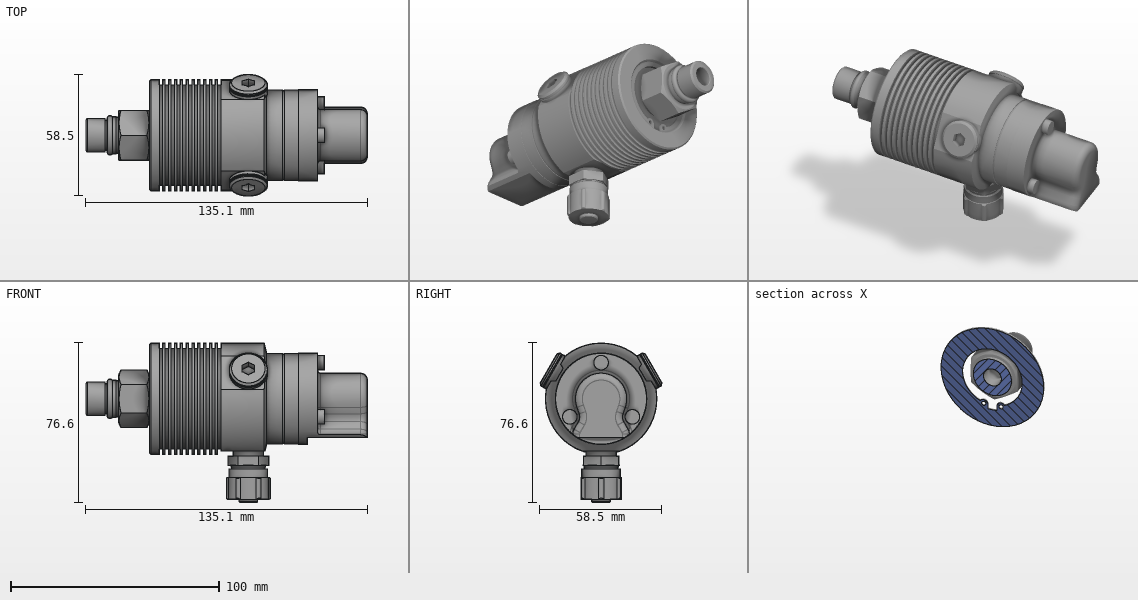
import cadquery as cq
import math


OVERALL_LENGTH = 135.13
OVERALL_HEIGHT = 76.55

NOSE_LENGTH = 30.5
NOSE_DIAMETER = 16.3
NOSE_CHAMFER = 0.8
THREAD_LENGTH = 9.3
UNDERCUT_LENGTH = 0.9
UNDERCUT_DIAMETER = 14.5
SEAL_DIAMETER = 19.0
SEAL_WIDTH = 2.8
COLLAR_DIAMETER = 18.0
RELIEF_WIDTH = 1.2
RELIEF_DIAMETER = 17.4
HEX_FLATS = 24.0
HEX_LENGTH = 14.8
HEX_CHAMFER_DIAMETER = 23.0
HEX_CHAMFER_LENGTH = 1.2
SHAFT_DIAMETER = 20.0
SHAFT_END = 12.0
BORE_DIAMETER = 9.0
BORE_CHAMFER = 0.35

HOUSING_DIAMETER = 53.5
FRONT_CHAMFER = 0.7
FRONT_RIM_LENGTH = 4.8
FIN_COUNT = 10
FIN_WIDTH = 1.2
GROOVE_WIDTH = 1.6
GROOVE_DIAMETER = 48.3
SHOULDER_START = 55.1
SHOULDER_END = 56.3
REAR_DIAMETER = 43.6
JOINT_GROOVE_START = 63.9
JOINT_GROOVE_WIDTH = 0.9
JOINT_GROOVE_DEPTH = 0.4
FLANGE_START = 71.6
FLANGE_DIAMETER = 43.9
REAR_FACE = 80.8
FLAT_DISTANCE = 25.1
PORT_X = 47.5
PORT_ANGLES = (30.0, 150.0)
FITTING_ANGLE = 270.0

RECESS_DIAMETER = 35.5
RECESS_MOUTH_DIAMETER = 37.2
RING_FRONT = 0.9
RECESS_DEPTH = 2.4
RING_INNER_DIAMETER = 30.7
RING_GAP = 4.4
EAR_RADIUS = 2.25
EAR_HOLE_DIAMETER = 1.98
EAR_Y = 4.5
EAR_Z = -15.3

PLUG_TOP = 29.1
PLUG_DIAMETER = 18.3
PLUG_FACE_DIAMETER = 16.1
PLUG_CONE_HEIGHT = 1.0
PLUG_HEAD_BOTTOM = 27.2
WASHER_TOP = 26.6
PLUG_NECK_DIAMETER = 17.4
SOCKET_FLATS = 6.0
SOCKET_DEPTH = 4.0

FITTING_END = OVERALL_HEIGHT - HOUSING_DIAMETER / 2
FITTING_NECK_DIAMETER = 14.6
NUT_FLATS = 17.0
NUT_TOP = 27.5
NUT_BOTTOM = 32.1
NUT_LIP_HEIGHT = 0.4
NUT_LIP_DIAMETER = 17.6
SPACER_BOTTOM = 32.7
SPACER_DIAMETER = 16.5
SPACER_NECK_DIAMETER = 16.2
SLEEVE_TOP = 33.6
SLEEVE_DIAMETER = 18.6
KNOB_TOP = 37.7
KNOB_BOTTOM = 48.3
KNOB_DIAMETER = 19.4
KNOB_CHAMFER = 0.6
KNOB_RIB_COUNT = 6
KNOB_RIB_REACH = 10.6
KNOB_RIB_WIDTH = 2.8
TIP_DIAMETER = 9.0
TIP_CHAMFER = 0.4

CAP_RADIUS = 12.3
CAP_END_FILLET = 3.3
CAP_BASE_FILLET = 1.4
CAP_TANGENT_ANGLE = 19.5
WAIST_TOP_Z = -7.2
WAIST_RADIUS = 4.5
FOOT_LEAN_ANGLE = 30.0
FOOT_ROUND_Z = -14.6
FOOT_ROUND_RADIUS = 4.5
FOOT_Z = -18.7
FOOT_START = 75.9

SCREW_DIAMETER = 7.0
SCREW_HEIGHT = 3.25
SCREW_CIRCLE_RADIUS = 17.35
SCREW_ANGLES = (90.0, 210.0, 330.0)

EDGE_MARGIN = 0.5
EMBED = 2.0


def cylinder(start, end, diameter):
    """Cylinder on the X axis."""
    return cq.Workplane("YZ", origin=(start, 0, 0)).circle(diameter / 2).extrude(end - start)


def cone(start, end, start_diameter, end_diameter):
    """Cone frustum on the X axis."""
    outline = [(start, 0), (start, start_diameter / 2), (end, end_diameter / 2), (end, 0)]
    return cq.Workplane("XY").polyline(outline).close().revolve(360, (0, 0, 0), (1, 0, 0))


def radial_plane(angle, distance):
    """Plane square to a port axis; its local X is the housing X and its normal points outward."""
    across = math.cos(math.radians(angle))
    up = math.sin(math.radians(angle))
    return cq.Plane(
        origin=(PORT_X, distance * across, distance * up), xDir=(1, 0, 0), normal=(0, across, up)
    )


def radial_disc(angle, start, end, diameter):
    """Cylinder on a port axis between two distances from the housing axis."""
    return cq.Workplane(radial_plane(angle, start)).circle(diameter / 2).extrude(end - start)


def hexagon_corner_diameter(flats):
    return flats / math.cos(math.pi / 6)


def make_rotor():
    nose_start = -NOSE_LENGTH
    thread_end = nose_start + THREAD_LENGTH
    seal_start = thread_end + UNDERCUT_LENGTH
    hex_start = -HEX_LENGTH
    seal_radius = SEAL_WIDTH / 2

    body = cylinder(nose_start, thread_end, NOSE_DIAMETER).faces("<X").chamfer(NOSE_CHAMFER)
    body = body.union(cylinder(thread_end, seal_start + seal_radius, UNDERCUT_DIAMETER))
    seal_center = (seal_start + seal_radius, SEAL_DIAMETER / 2 - seal_radius)
    seal = (
        cq.Workplane("XY").center(*seal_center).circle(seal_radius)
        .revolve(360, (0, -seal_center[1], 0), (1, -seal_center[1], 0))
    )
    body = body.union(seal)
    body = body.union(cylinder(seal_start + seal_radius, hex_start - RELIEF_WIDTH, COLLAR_DIAMETER))
    body = body.union(cylinder(hex_start - RELIEF_WIDTH, hex_start, RELIEF_DIAMETER))

    corners = hexagon_corner_diameter(HEX_FLATS)
    nut = (
        cq.Workplane("YZ", origin=(hex_start, 0, 0))
        .transformed(rotate=(0, 0, 90)).polygon(6, corners).extrude(HEX_LENGTH)
    )
    nut_outline = [
        (hex_start, 0),
        (hex_start, HEX_CHAMFER_DIAMETER / 2),
        (hex_start + HEX_CHAMFER_LENGTH, corners / 2),
        (-HEX_CHAMFER_LENGTH, corners / 2),
        (0, HEX_CHAMFER_DIAMETER / 2),
        (0, 0),
    ]
    nut_limit = cq.Workplane("XY").polyline(nut_outline).close().revolve(360, (0, 0, 0), (1, 0, 0))
    body = body.union(nut.intersect(nut_limit)).union(cylinder(0, SHAFT_END, SHAFT_DIAMETER))

    body = body.cut(cylinder(nose_start, SHAFT_END, BORE_DIAMETER))
    mouth = BORE_DIAMETER + 2 * BORE_CHAMFER
    return body.cut(cone(nose_start, nose_start + BORE_CHAMFER, mouth, BORE_DIAMETER))


def make_shell():
    """Turned body of the housing with cooling fins and the flats for the ports."""
    radius = HOUSING_DIAMETER / 2
    outline = [
        (0, 0),
        (0, radius - FRONT_CHAMFER),
        (FRONT_CHAMFER, radius),
        (SHOULDER_START, radius),
        (SHOULDER_END, REAR_DIAMETER / 2),
        (FLANGE_START, REAR_DIAMETER / 2),
        (FLANGE_START, 0),
    ]
    shell = cq.Workplane("XY").polyline(outline).close().revolve(360, (0, 0, 0), (1, 0, 0))

    pitch = FIN_WIDTH + GROOVE_WIDTH
    for index in range(FIN_COUNT + 1):
        start = FRONT_RIM_LENGTH + index * pitch
        groove = cylinder(start, start + GROOVE_WIDTH, HOUSING_DIAMETER + EMBED)
        shell = shell.cut(groove.cut(cylinder(start, start + GROOVE_WIDTH, GROOVE_DIAMETER)))

    joint_end = JOINT_GROOVE_START + JOINT_GROOVE_WIDTH
    joint_floor = REAR_DIAMETER - 2 * JOINT_GROOVE_DEPTH
    joint = cylinder(JOINT_GROOVE_START, joint_end, REAR_DIAMETER + EMBED)
    shell = shell.cut(joint.cut(cylinder(JOINT_GROOVE_START, joint_end, joint_floor)))

    fins_end = FRONT_RIM_LENGTH + FIN_COUNT * pitch + GROOVE_WIDTH
    flat_length = SHOULDER_END - fins_end
    for angle in (*PORT_ANGLES, FITTING_ANGLE):
        flat = (
            cq.Workplane(radial_plane(angle, FLAT_DISTANCE))
            .center(fins_end + flat_length / 2 - PORT_X, 0)
            .rect(flat_length, HOUSING_DIAMETER).extrude(HOUSING_DIAMETER)
        )
        shell = shell.cut(flat)
    return shell


def make_snap_ring():
    thickness = RECESS_DEPTH - RING_FRONT
    plane = cq.Workplane("YZ", origin=(RING_FRONT, 0, 0))
    ears = plane.pushPoints([(-EAR_Y, EAR_Z), (EAR_Y, EAR_Z)])
    limit = cylinder(RING_FRONT, RECESS_DEPTH, RECESS_DIAMETER)
    ring = limit.cut(cylinder(RING_FRONT, RECESS_DEPTH, RING_INNER_DIAMETER))
    ring = ring.union(ears.circle(EAR_RADIUS).extrude(thickness).intersect(limit))
    gap = plane.center(0, -RECESS_DIAMETER / 2).rect(RING_GAP, RECESS_DIAMETER / 2).extrude(thickness)
    ring = ring.cut(gap)
    return ring.cut(ears.circle(EAR_HOLE_DIAMETER / 2).extrude(thickness))


def make_plug(angle):
    cone_base = PLUG_TOP - PLUG_CONE_HEIGHT
    plug = radial_disc(angle, FLAT_DISTANCE - EMBED, WASHER_TOP, PLUG_DIAMETER)
    plug = plug.union(radial_disc(angle, WASHER_TOP, PLUG_HEAD_BOTTOM, PLUG_NECK_DIAMETER))
    plug = plug.union(radial_disc(angle, PLUG_HEAD_BOTTOM, cone_base, PLUG_DIAMETER))
    top = (
        cq.Workplane(radial_plane(angle, cone_base)).circle(PLUG_DIAMETER / 2)
        .workplane(offset=PLUG_CONE_HEIGHT).circle(PLUG_FACE_DIAMETER / 2).loft()
    )
    return plug.union(top)


def make_socket(angle):
    return (
        cq.Workplane(radial_plane(angle, PLUG_TOP - SOCKET_DEPTH)).transformed(rotate=(0, 0, 90))
        .polygon(6, hexagon_corner_diameter(SOCKET_FLATS)).extrude(SOCKET_DEPTH)
    )


def make_fitting():
    """Hose fitting that hangs from the bottom flat."""
    angle = FITTING_ANGLE
    fitting = radial_disc(angle, FLAT_DISTANCE - EMBED, NUT_TOP, FITTING_NECK_DIAMETER)
    nut = (
        cq.Workplane(radial_plane(angle, NUT_TOP))
        .polygon(6, hexagon_corner_diameter(NUT_FLATS)).extrude(NUT_BOTTOM - NUT_TOP)
    )
    fitting = fitting.union(nut)
    fitting = fitting.union(radial_disc(angle, NUT_BOTTOM, SPACER_BOTTOM, SPACER_DIAMETER))
    fitting = fitting.union(radial_disc(angle, NUT_BOTTOM - NUT_LIP_HEIGHT, NUT_BOTTOM, NUT_LIP_DIAMETER))
    fitting = fitting.union(radial_disc(angle, SPACER_BOTTOM, SLEEVE_TOP, SPACER_NECK_DIAMETER))
    fitting = fitting.union(radial_disc(angle, SLEEVE_TOP, KNOB_TOP, SLEEVE_DIAMETER))
    knob_height = KNOB_BOTTOM - KNOB_TOP
    knob = radial_disc(angle, KNOB_TOP, KNOB_BOTTOM, KNOB_DIAMETER)
    for index in range(KNOB_RIB_COUNT):
        rib = (
            cq.Workplane(radial_plane(angle, KNOB_TOP))
            .transformed(rotate=(0, 0, index * 360 / KNOB_RIB_COUNT))
            .center(KNOB_RIB_REACH - KNOB_RIB_WIDTH / 2, 0).circle(KNOB_RIB_WIDTH / 2).extrude(knob_height)
        )
        knob = knob.union(rib)
    knob_limit = radial_disc(angle, KNOB_TOP, KNOB_BOTTOM, 2 * KNOB_RIB_REACH)
    knob_limit = knob_limit.faces("<Z or >Z").chamfer(KNOB_CHAMFER)
    fitting = fitting.union(knob.intersect(knob_limit))
    tip = radial_disc(angle, KNOB_BOTTOM, FITTING_END, TIP_DIAMETER).faces("<Z").chamfer(TIP_CHAMFER)
    return fitting.union(tip)


def waist_points(side):
    """Points of the cap outline on one side (+1 or -1), from the round cap down to the foot."""
    tilt = math.radians(CAP_TANGENT_ANGLE)
    lean = math.radians(FOOT_LEAN_ANGLE)
    cap_y = CAP_RADIUS * math.cos(tilt)
    cap_z = -CAP_RADIUS * math.sin(tilt)

    waist_center_z = WAIST_TOP_Z - WAIST_RADIUS * math.sin(tilt)
    waist_top_y = cap_y - (cap_z - WAIST_TOP_Z) * math.tan(tilt)
    waist_center_y = waist_top_y + WAIST_RADIUS * math.cos(tilt)
    waist_bottom_y = waist_center_y - WAIST_RADIUS * math.cos(lean)
    waist_bottom_z = waist_center_z - WAIST_RADIUS * math.sin(lean)

    round_top_y = waist_bottom_y + (waist_bottom_z - FOOT_ROUND_Z) * math.tan(lean)
    round_center_y = round_top_y - FOOT_ROUND_RADIUS * math.cos(lean)
    round_center_z = FOOT_ROUND_Z - FOOT_ROUND_RADIUS * math.sin(lean)
    round_middle_y = round_center_y + FOOT_ROUND_RADIUS * math.cos(lean / 2)
    round_middle_z = round_center_z + FOOT_ROUND_RADIUS * math.sin(lean / 2)

    points = [
        (cap_y, cap_z),
        (waist_top_y, WAIST_TOP_Z),
        (waist_center_y - WAIST_RADIUS, waist_center_z),
        (waist_bottom_y, waist_bottom_z),
        (round_top_y, FOOT_ROUND_Z),
        (round_middle_y, round_middle_z),
        (round_center_y + FOOT_ROUND_RADIUS, round_center_z),
    ]
    return [(side * y, z) for y, z in points]


def make_rear():
    """Rear flange with a round cap that widens into a flat foot, all within the flange diameter."""
    cap_end = OVERALL_LENGTH - NOSE_LENGTH
    left = waist_points(-1)
    right = waist_points(1)
    stock = 2 * FLANGE_DIAMETER
    cap = (
        cq.Workplane("YZ", origin=(REAR_FACE, 0, 0))
        .moveTo(*right[0])
        .threePointArc((0, CAP_RADIUS), left[0])
        .lineTo(*left[1])
        .threePointArc(left[2], left[3])
        .lineTo(*left[4])
        .threePointArc(left[5], left[6])
        .lineTo(left[6][0], -FLANGE_DIAMETER)
        .lineTo(right[6][0], -FLANGE_DIAMETER)
        .lineTo(*right[6])
        .threePointArc(right[5], right[4])
        .lineTo(*right[3])
        .threePointArc(right[2], right[1])
        .close()
        .extrude(cap_end - REAR_FACE)
    )

    def outline_edges(x):
        """Edges of the cap outline in the plane at X, all but the bottom one."""
        low = (x - EDGE_MARGIN, -FLANGE_DIAMETER, EDGE_MARGIN - FLANGE_DIAMETER)
        high = (x + EDGE_MARGIN, FLANGE_DIAMETER, FLANGE_DIAMETER)
        return cq.selectors.BoxSelector(low, high)

    cap = cap.edges(outline_edges(cap_end)).fillet(CAP_END_FILLET)
    flange = cq.Workplane("YZ", origin=(FLANGE_START, 0, 0)).rect(stock, stock)
    rear = flange.extrude(REAR_FACE - FLANGE_START).union(cap)
    rear = rear.edges(outline_edges(REAR_FACE)).fillet(CAP_BASE_FILLET)

    below_foot = cq.Workplane("XY").box(stock, stock, stock, centered=(False, True, False))
    rear = rear.cut(below_foot.translate((FOOT_START, 0, FOOT_Z - stock)))
    return rear.intersect(cylinder(FLANGE_START, cap_end, FLANGE_DIAMETER))


def make_housing():
    housing = make_shell()
    housing = housing.cut(cone(0, RING_FRONT, RECESS_MOUTH_DIAMETER, RECESS_DIAMETER))
    housing = housing.cut(cylinder(RING_FRONT, RECESS_DEPTH, RECESS_DIAMETER))
    housing = housing.union(make_snap_ring())
    housing = housing.cut(cylinder(RECESS_DEPTH, SHAFT_END, SHAFT_DIAMETER))

    for angle in PORT_ANGLES:
        housing = housing.union(make_plug(angle)).cut(make_socket(angle))
    housing = housing.union(make_fitting())

    housing = housing.union(make_rear())
    for angle in SCREW_ANGLES:
        y = SCREW_CIRCLE_RADIUS * math.cos(math.radians(angle))
        z = SCREW_CIRCLE_RADIUS * math.sin(math.radians(angle))
        screw = cylinder(REAR_FACE - EMBED, REAR_FACE + SCREW_HEIGHT, SCREW_DIAMETER)
        housing = housing.union(screw.translate((0, y, z)))
    return housing


rotor = make_rotor()
housing = make_housing()
result = cq.Compound.makeCompound([rotor.val(), housing.val()])